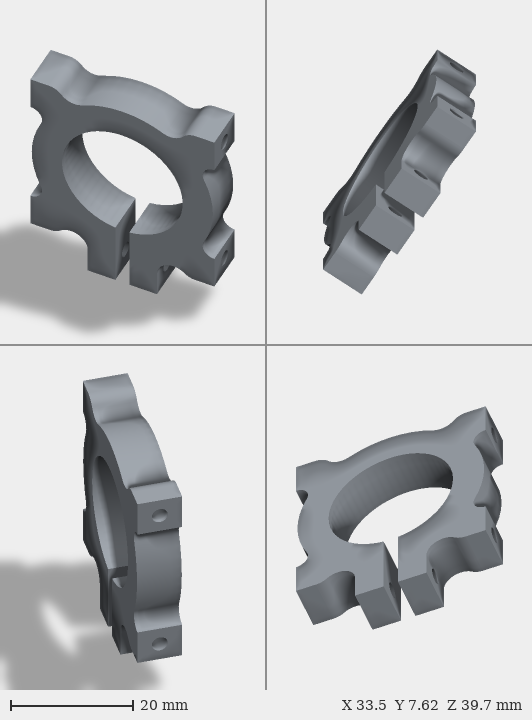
import cadquery as cq
import math

body_width = 33.55
body_height = 33.35
total_height = 39.7
thickness = 7.62
ring_radius = 16.5
bore_radius = 11.0
pad_height = 6.4
blend_radius = 3.0
top_hollow_x = 8.75
bottom_hollow_depth = 1.43
slot_width = 2.55
leg_width = 5.05
hole_diameter = 2.7
pad_hole_depth = 5.95
drill_point_angle = 118.0
leg_hole_height = 3.6

half_width = body_width / 2
top_z = body_height / 2
bottom_z = -top_z
leg_bottom_z = top_z - total_height
leg_outer_x = slot_width / 2 + leg_width
hole_radius = hole_diameter / 2

notch_edge_z = top_z - pad_height
notch_radius = (half_width**2 + notch_edge_z**2 - ring_radius**2) / (2 * (ring_radius + notch_edge_z))
notch_center = (half_width, notch_edge_z - notch_radius)

top_hollow = (top_hollow_x, math.sqrt((ring_radius + blend_radius) ** 2 - top_hollow_x**2))
bottom_hollow = (leg_outer_x + blend_radius, bottom_z + bottom_hollow_depth - blend_radius)


def rounded_edge_center(hollow, center_z):
    """Center of the pad's rounded edge, outboard of the hollow and tangent to it."""
    rise = hollow[1] - center_z
    return (hollow[0] + math.sqrt((2 * blend_radius) ** 2 - rise**2), center_z)


top_round = rounded_edge_center(top_hollow, top_z - blend_radius)
bottom_round = rounded_edge_center(bottom_hollow, bottom_z + blend_radius)


def toward(start, target, distance):
    """Point at a given distance from start in the direction of target."""
    scale = distance / math.dist(start, target)
    return tuple(a + (b - a) * scale for a, b in zip(start, target))


def arc_middle(center, start, end):
    """Middle of the minor arc from start to end."""
    chord_middle = tuple((a + b) / 2 for a, b in zip(start, end))
    return toward(center, chord_middle, math.dist(center, start))


def add_arc(sketch, center, start, end):
    return sketch.threePointArc(arc_middle(center, start, end), end)


def make_right_half():
    """Right half of the outline, without bore and slot, extruded about Y = 0."""
    axis = (0, 0)
    ring_top = (0, ring_radius)
    ring_to_hollow = toward(axis, top_hollow, ring_radius)
    hollow_to_round = toward(top_hollow, top_round, blend_radius)
    pad_top = (top_round[0], top_z)
    upper_notch_edge = (half_width, notch_edge_z)
    upper_notch_end = toward(axis, notch_center, ring_radius)
    lower_notch_center = (half_width, -notch_center[1])
    lower_notch_edge = (half_width, -notch_edge_z)
    lower_notch_end = (upper_notch_end[0], -upper_notch_end[1])
    pad_bottom = (bottom_round[0], bottom_z)
    round_to_hollow = toward(bottom_round, bottom_hollow, blend_radius)
    leg_top = (leg_outer_x, bottom_hollow[1])

    outline = cq.Workplane("XZ").moveTo(*ring_top)
    outline = add_arc(outline, axis, ring_top, ring_to_hollow)
    outline = add_arc(outline, top_hollow, ring_to_hollow, hollow_to_round)
    outline = add_arc(outline, top_round, hollow_to_round, pad_top)
    outline = outline.lineTo(half_width, top_z).lineTo(*upper_notch_edge)
    outline = add_arc(outline, notch_center, upper_notch_edge, upper_notch_end)
    outline = add_arc(outline, axis, upper_notch_end, lower_notch_end)
    outline = add_arc(outline, lower_notch_center, lower_notch_end, lower_notch_edge)
    outline = outline.lineTo(half_width, bottom_z).lineTo(*pad_bottom)
    outline = add_arc(outline, bottom_round, pad_bottom, round_to_hollow)
    outline = add_arc(outline, bottom_hollow, round_to_hollow, leg_top)
    outline = outline.lineTo(leg_outer_x, leg_bottom_z).lineTo(0, leg_bottom_z).close()
    return outline.extrude(thickness / 2, both=True)


def make_pad_hole(z):
    """Blind drilled hole entering the right side face."""
    straight_end = half_width - pad_hole_depth
    tip_x = straight_end - hole_radius / math.tan(math.radians(drill_point_angle / 2))
    profile = (
        cq.Workplane("XY", origin=(0, 0, z))
        .moveTo(half_width, 0)
        .lineTo(half_width, hole_radius)
        .lineTo(straight_end, hole_radius)
        .lineTo(tip_x, 0)
        .close()
    )
    return profile.revolve(360, (0, 0, 0), (1, 0, 0))


right_half = make_right_half()
body = right_half.union(right_half.mirror("YZ"))
bore = cq.Workplane("XZ").circle(bore_radius).extrude(thickness, both=True)
slot = cq.Workplane("XY").box(slot_width, thickness, -leg_bottom_z).translate((0, 0, leg_bottom_z / 2))
body = body.cut(bore).cut(slot)

pad_hole_z = top_z - pad_height / 2
for z in (pad_hole_z, -pad_hole_z):
    pad_hole = make_pad_hole(z)
    body = body.cut(pad_hole).cut(pad_hole.mirror("YZ"))

screw_hole = (
    cq.Workplane("YZ", origin=(0, 0, leg_bottom_z + leg_hole_height))
    .circle(hole_radius)
    .extrude(leg_outer_x + blend_radius, both=True)
)
result = body.cut(screw_hole)